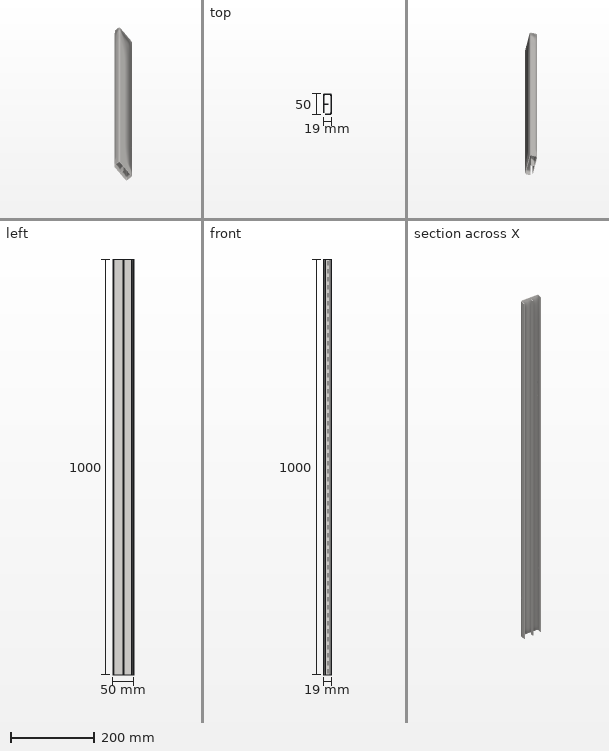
import cadquery as cq

length = 1000.0
width = 19.0
depth = 50.0

wall = 1.5
corner_radius = 4.0
gap_width = 5.0
gap_depth = 5.0

strip_reach = 9.0
strip_thickness = 2.0

left = -width / 2
front = -depth / 2
bottom = -length / 2


def rounded_bar(x_size, y_size, radius):
    """Full-length bar on the channel's axis with rounded long edges."""
    return (
        cq.Workplane("XY", origin=(0, 0, bottom))
        .rect(x_size, y_size)
        .extrude(length)
        .edges("|Z")
        .fillet(radius)
    )


def make_corner_gap():
    """Block that opens the left front corner along the whole length."""
    return (
        cq.Workplane("XY", origin=(left, front, bottom))
        .rect(gap_width, gap_depth, centered=False)
        .extrude(length)
    )


def make_channel():
    """Thin-walled tube with rounded corners, opened along its left front corner."""
    outer = rounded_bar(width, depth, corner_radius)
    cavity = rounded_bar(width - 2 * wall, depth - 2 * wall, corner_radius - wall)
    return outer.cut(cavity).cut(make_corner_gap())


def make_strip():
    """Flat strip along the whole channel, touching the left wall at mid depth."""
    return (
        cq.Workplane("XY", origin=(left + wall, 0, bottom))
        .rect(strip_reach, strip_thickness, centered=(False, True))
        .extrude(length)
    )


channel = make_channel()
strip = make_strip()

result = cq.Compound.makeCompound([channel.val(), strip.val()])